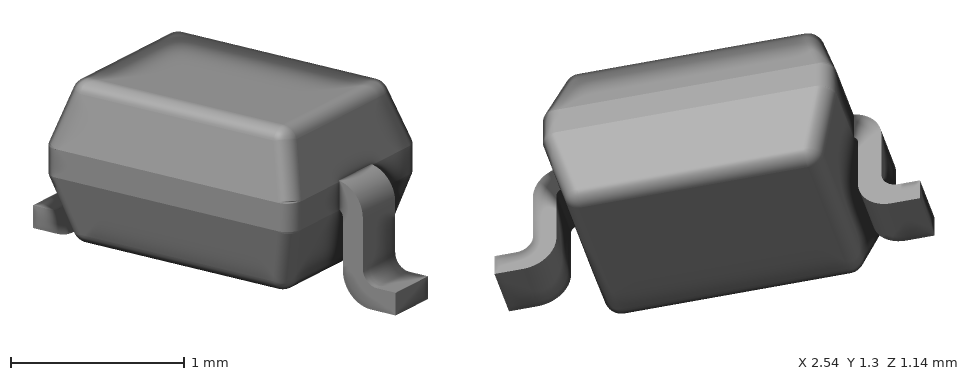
import cadquery as cq

body_length = 1.75
body_width = 1.30
body_bottom = 0.13
belt_bottom = 0.565
belt_top = 0.74
body_top = 1.14
taper_inset = 0.125
edge_radius = 0.10

lead_span = 2.54
lead_width = 0.33
lead_thickness = 0.14
lead_top = 0.75
shank_reach = 1.04
foot_inner_radius = 0.10
shoulder_inner_radius = 0.05
outer_bend_radius = 0.20
root_bottom = 0.575

band_width = 0.075
band_length = 0.795
band_depth = 0.01
band_corner_radius = 0.01
band_center_x = -0.5875
band_center_y = 0.01


def tapered_half(belt_z, end_z):
    """Frustum from the full outline at belt_z to the inset outline at end_z."""
    return (
        cq.Workplane("XY", origin=(0, 0, belt_z))
        .rect(body_length, body_width)
        .workplane(offset=end_z - belt_z)
        .rect(body_length - 2 * taper_inset, body_width - 2 * taper_inset)
        .loft(ruled=True)
    )


def make_housing_blank():
    """Housing with all its outer edges rounded, before the recesses are cut."""
    belt = (
        cq.Workplane("XY", origin=(0, 0, belt_bottom))
        .rect(body_length, body_width)
        .extrude(belt_top - belt_bottom)
    )
    blank = belt.union(tapered_half(belt_top, body_top)).union(tapered_half(belt_bottom, body_bottom))
    corner_and_rim_edges = blank.edges("not(#Z)").add(blank.faces(">Z or <Z").edges())
    return corner_and_rim_edges.fillet(edge_radius)


def make_lead(side):
    """One lead; side is -1 for the -X end and +1 for the +X end."""
    shank_inner_x = shank_reach - lead_thickness
    root_x = shank_reach - outer_bend_radius
    tip_x = lead_span / 2

    profile = (
        cq.Workplane("XZ", origin=(0, lead_width / 2, 0))
        .moveTo(root_x, lead_top)
        .radiusArc((shank_reach, lead_top - outer_bend_radius), outer_bend_radius)
        .lineTo(shank_reach, lead_thickness + foot_inner_radius)
        .radiusArc((shank_reach + foot_inner_radius, lead_thickness), -foot_inner_radius)
        .lineTo(tip_x, lead_thickness)
        .lineTo(tip_x, 0)
        .lineTo(shank_inner_x + outer_bend_radius, 0)
        .radiusArc((shank_inner_x, outer_bend_radius), outer_bend_radius)
        .lineTo(shank_inner_x, root_bottom - shoulder_inner_radius)
        .radiusArc((shank_inner_x - shoulder_inner_radius, root_bottom), -shoulder_inner_radius)
        .lineTo(root_x, root_bottom)
        .close()
    )
    lead = profile.extrude(lead_width)
    return lead if side > 0 else lead.mirror("YZ")


def make_polarity_band():
    """Thin bar whose upper face is level with the top of the housing."""
    return (
        cq.Workplane("XY", origin=(band_center_x, band_center_y, body_top - band_depth))
        .rect(band_width, band_length)
        .extrude(band_depth)
        .edges("|Z")
        .fillet(band_corner_radius)
    )


leads = [make_lead(side) for side in (-1, 1)]
polarity_band = make_polarity_band()

housing = make_housing_blank().cut(polarity_band)
for lead in leads:
    housing = housing.cut(lead)

result = cq.Compound.makeCompound(
    [housing.val(), *[lead.val() for lead in leads], polarity_band.val()]
)